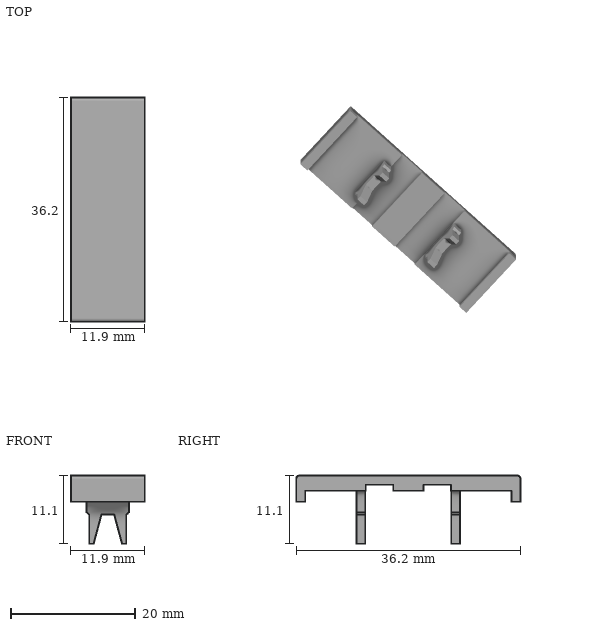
import cadquery as cq

width = 11.9
length = 36.2
plate_thickness = 2.5
top_edge_radius = 0.58

lip_thickness = 1.5
lip_bottom = -4.27

groove_inner = 2.45
groove_outer = 6.85
groove_depth = 0.98

clip_center = 7.65
clip_thickness = 1.45
clip_bottom = -11.05
shoulder_half_width = 3.45
shoulder_bottom = -5.9
prong_half_width = 3.0
fork_top = -6.35
fork_half_width_top = 1.0
fork_half_width_bottom = 2.28


def crosswise_block(y_start, y_end, z_bottom, z_top):
    """Block across the full width, between two Y positions and two heights."""
    return cq.Workplane("XY").box(
        width, y_end - y_start, z_top - z_bottom, centered=(True, False, False)
    ).translate((0, y_start, z_bottom))


def make_cap():
    """Plate with rounded end edges, end lips and underside grooves."""
    cap = crosswise_block(-length / 2, length / 2, lip_bottom, 0)
    cap = cap.faces(">Z").edges("|X").fillet(top_edge_radius)
    lip_inner = length / 2 - lip_thickness
    cap = cap.cut(crosswise_block(-lip_inner, lip_inner, lip_bottom, -plate_thickness))
    groove_top = groove_depth - plate_thickness
    groove = crosswise_block(groove_inner, groove_outer, -plate_thickness, groove_top)
    return cap.cut(groove).cut(groove.mirror("XZ"))


def make_clip(y_center):
    """Two tapered prongs below a wider shoulder."""
    right_side = [
        (shoulder_half_width, -plate_thickness),
        (shoulder_half_width, shoulder_bottom),
        (prong_half_width, fork_top),
        (prong_half_width, clip_bottom),
        (fork_half_width_bottom, clip_bottom),
        (fork_half_width_top, fork_top),
    ]
    left_side = [(-x, z) for x, z in reversed(right_side)]
    return (
        cq.Workplane("XZ", origin=(0, y_center, 0))
        .polyline(right_side + left_side)
        .close()
        .extrude(clip_thickness / 2, both=True)
    )


result = make_cap()
for clip_y in (-clip_center, clip_center):
    result = result.union(make_clip(clip_y))